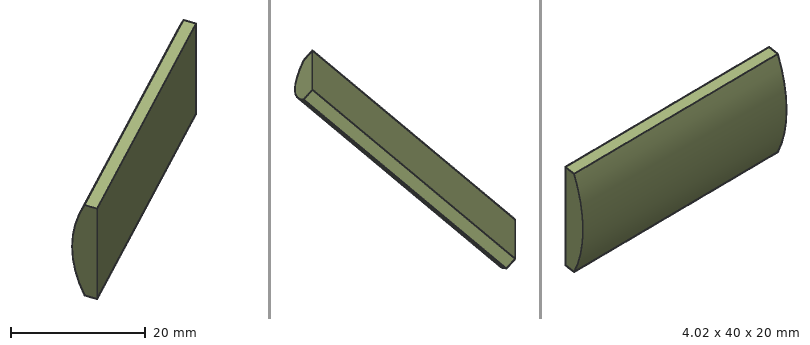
import cadquery as cq

length = 40.0
height = 20.0
edge_thickness = 2.0
center_thickness = 4.02

half_height = height / 2


def lens_profile():
    """Closed X-Z section with its flat back on X = 0."""
    return (
        cq.Workplane("XZ", origin=(0, length / 2, 0))
        .moveTo(0, -half_height)
        .lineTo(-edge_thickness, -half_height)
        .threePointArc((-center_thickness, 0), (-edge_thickness, half_height))
        .lineTo(0, half_height)
        .close()
    )


result = lens_profile().extrude(length)